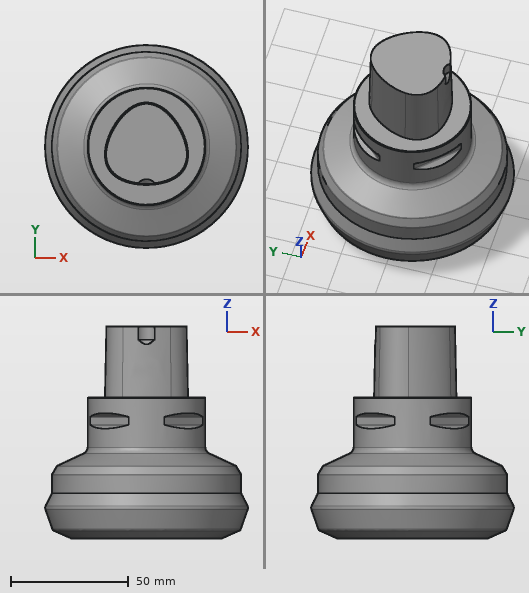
import cadquery as cq
import math

overall_height = 90.0
shank_length = 30.05
collar_top_z = overall_height - shank_length

collar_radius = 50.0 / 2
collar_edge_chamfer = 0.4
rim_radius = 80.3 / 2
rim_top_z = 27.2
shoulder_radius = 38.0
shoulder_z = 30.9
flange_slope = 25.0
neck_fillet = 3.0
shoulder_fillet = 0.5

shank_mean_radius = 17.5
shank_lobe_height = 1.2
shank_taper = 0.6
shank_lobe_count = 3
shank_lobe_half_angle = 28.0
curve_steps = 8

notch_radius = 4.2
notch_axis_y = -18.1
notch_depth = 5.6

groove_count = 4
groove_z = collar_top_z - 10.0
groove_floor_radius = 22.2
groove_floor_width = 3.4
groove_flare = 30.0
groove_corner_fillet = 0.45

cutter_radius = 86.2 / 2
cutter_top_z = 19.25
cutter_face_radius = 31.9
cutter_heel_radius = 39.9
cutter_heel_z = 3.5
cutter_upper_slope = 27.0
cutter_lower_slope = 20.0
cutter_tip_fillet = 2.0
cutter_heel_fillet = 1.4

height_tolerance = 0.01


def round_edge(body, height, fillet_radius):
    """Fillet the circular edge that lies at the given height."""
    circles = body.edges("%CIRCLE")
    return circles.filter(lambda edge: abs(edge.Center().z - height) < height_tolerance).fillet(fillet_radius)


def make_flange_and_collar():
    """Revolve the rim, conical flange and collar, then round their edges."""
    rise = (shoulder_radius - collar_radius) * math.tan(math.radians(flange_slope))
    neck_z = shoulder_z + rise
    body = (
        cq.Workplane("XZ")
        .moveTo(0, cutter_top_z)
        .lineTo(rim_radius, cutter_top_z)
        .lineTo(rim_radius, rim_top_z)
        .lineTo(shoulder_radius, shoulder_z)
        .lineTo(collar_radius, neck_z)
        .lineTo(collar_radius, collar_top_z)
        .lineTo(0, collar_top_z)
        .close()
        .revolve(360, (0, 0), (0, 1))
    )
    body = body.faces(">Z").edges().chamfer(collar_edge_chamfer)
    body = round_edge(body, neck_z, neck_fillet)
    body = round_edge(body, shoulder_z, shoulder_fillet)
    return round_edge(body, rim_top_z, shoulder_fillet)


def lobed_point(angle, mean_radius):
    """Point on a three-lobed trochoid with one lobe on +Y."""
    x = shank_lobe_height * math.sin(2 * angle) - mean_radius * math.sin(angle)
    y = mean_radius * math.cos(angle) + shank_lobe_height * math.cos(2 * angle)
    return (x, y)


def shank_section(height, mean_radius):
    """Closed wire of alternating lobe and flank curves at one height."""
    pitch = 2 * math.pi / shank_lobe_count
    half_lobe = math.radians(shank_lobe_half_angle)
    edges = []
    for index in range(shank_lobe_count):
        lobe_start = index * pitch - half_lobe
        lobe_end = index * pitch + half_lobe
        flank_end = lobe_start + pitch
        for start, end in [(lobe_start, lobe_end), (lobe_end, flank_end)]:
            step = (end - start) / curve_steps
            points = [lobed_point(start + i * step, mean_radius) for i in range(curve_steps + 1)]
            edges.append(cq.Edge.makeSpline([cq.Vector(x, y, height) for x, y in points]))
    return cq.Wire.assembleEdges(edges)


def make_shank():
    """Loft the lobed section from the collar to the narrower end face."""
    base = shank_section(collar_top_z, shank_mean_radius)
    end = shank_section(overall_height, shank_mean_radius - shank_taper)
    return cq.Workplane(cq.Solid.makeLoft([base, end], True))


def make_notch_tool():
    """Vertical drill with a 90 degree point, on an axis just outside the shank."""
    notch_floor_z = overall_height - notch_depth
    return (
        cq.Workplane("XZ", origin=(0, notch_axis_y, 0))
        .moveTo(0, notch_floor_z - notch_radius)
        .lineTo(notch_radius, notch_floor_z)
        .lineTo(notch_radius, overall_height)
        .lineTo(0, overall_height)
        .close()
        .revolve(360, (0, 0), (0, 1))
    )


def make_groove_tool():
    """Straight flared groove, tangent to the collar, on the +X side."""
    groove_depth = collar_radius - groove_floor_radius
    half_floor = groove_floor_width / 2
    half_mouth = half_floor + groove_depth * math.tan(math.radians(groove_flare))
    return (
        cq.Workplane("XZ")
        .moveTo(groove_floor_radius, groove_z - half_floor)
        .lineTo(collar_radius, groove_z - half_mouth)
        .lineTo(collar_radius, groove_z + half_mouth)
        .lineTo(groove_floor_radius, groove_z + half_floor)
        .close()
        .extrude(collar_radius, both=True)
        .faces("<X")
        .edges("|Y")
        .fillet(groove_corner_fillet)
    )


def make_holder():
    """Collar and flange with the shank, key notch and gripper grooves."""
    holder = make_flange_and_collar().union(make_shank()).cut(make_notch_tool())
    groove = make_groove_tool()
    pitch = 360 / groove_count
    for index in range(groove_count):
        angle = (index + 0.5) * pitch
        holder = holder.cut(groove.rotate((0, 0, 0), (0, 0, 1), angle))
    return holder


def make_cutter():
    """Revolve the double cone and round its tip and heel."""
    half_turn = math.radians(cutter_upper_slope + cutter_lower_slope) / 2
    lean = math.radians(cutter_upper_slope - cutter_lower_slope) / 2
    tip_radius = cutter_radius + cutter_tip_fillet * (math.cos(lean) / math.cos(half_turn) - 1)
    tip_z = cutter_top_z - (tip_radius - rim_radius) / math.tan(math.radians(cutter_upper_slope))
    cutter = (
        cq.Workplane("XZ")
        .lineTo(cutter_face_radius, 0)
        .lineTo(cutter_heel_radius, cutter_heel_z)
        .lineTo(tip_radius, tip_z)
        .lineTo(rim_radius, cutter_top_z)
        .lineTo(0, cutter_top_z)
        .close()
        .revolve(360, (0, 0), (0, 1))
    )
    cutter = round_edge(cutter, tip_z, cutter_tip_fillet)
    return round_edge(cutter, cutter_heel_z, cutter_heel_fillet)


holder = make_holder()
cutter = make_cutter()

result = cq.Compound.makeCompound([*holder.solids().vals(), *cutter.solids().vals()])